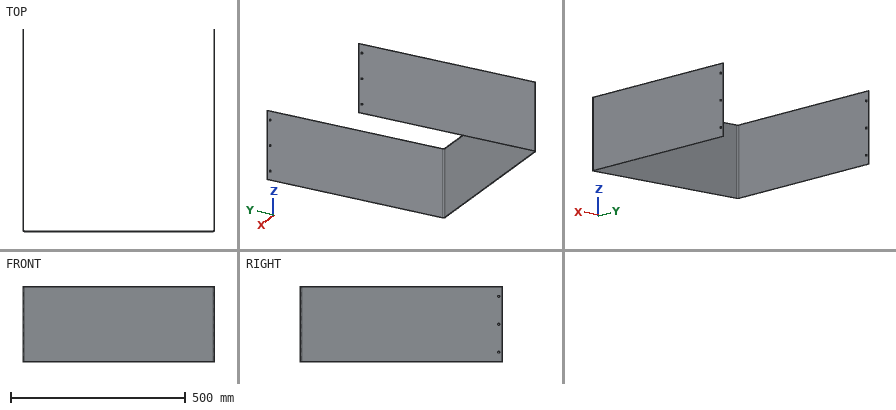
import cadquery as cq

WIDTH = 550.0
DEPTH = 580.0
HEIGHT = 216.0

THICKNESS = 2.0
INNER_BEND_RADIUS = 3.0
OUTER_BEND_RADIUS = INNER_BEND_RADIUS + THICKNESS

HOLE_DIAMETER = 5.0
HOLE_SETBACK = 10.0
HOLE_SPACING = 80.0


def bent_sheet():
    """U-shaped sheet, open toward +Y, with rounded bends at both front corners."""
    outside = (
        cq.Workplane("XY")
        .box(WIDTH, DEPTH, HEIGHT)
        .edges("|Z and <Y")
        .fillet(OUTER_BEND_RADIUS)
    )
    inside = (
        cq.Workplane("XY")
        .box(WIDTH - 2 * THICKNESS, DEPTH, HEIGHT)
        .edges("|Z and <Y")
        .fillet(INNER_BEND_RADIUS)
        .translate((0, THICKNESS, 0))
    )
    return outside.cut(inside)


def side_hole(height):
    """Cylinder along X that pierces both side walls at the given height."""
    hole_y = DEPTH / 2 - HOLE_SETBACK
    return (
        cq.Workplane("YZ")
        .center(hole_y, height)
        .circle(HOLE_DIAMETER / 2)
        .extrude(WIDTH, both=True)
    )


result = bent_sheet()
for hole_height in (-HOLE_SPACING, 0, HOLE_SPACING):
    result = result.cut(side_hole(hole_height))